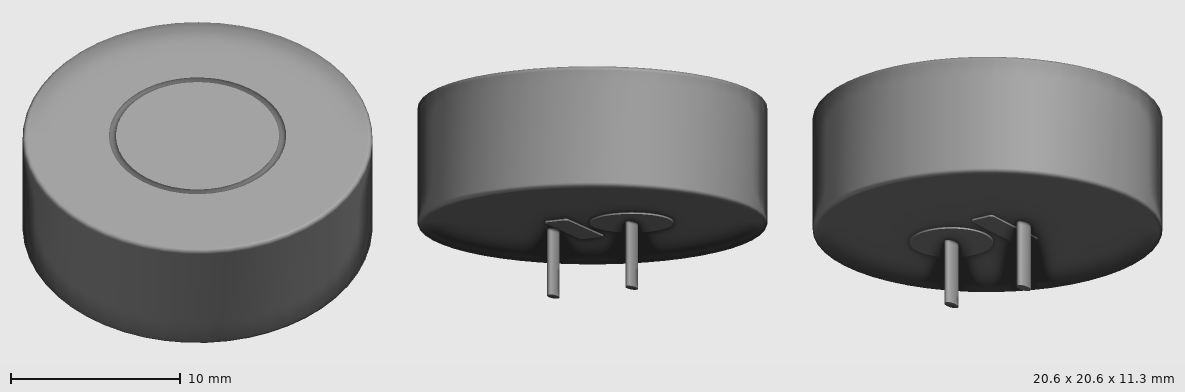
import cadquery as cq

outer_diameter = 20.6
can_height = 7.32
core_diameter = 15.6
rim_fillet = 0.25

groove_ring_radius = 5.0
groove_section_radius = 0.2

pin_pitch = 5.15
pin_width_x = 0.6
pin_width_y = 1.2
pin_length = 4.0

pad_diameter = 4.9
raised_height = 0.1
bar_width_x = 1.53
bar_length_y = pad_diameter
bar_center_x = -1.22
bar_corner_radius = 0.2


def make_sleeve():
    """Outer ring with rounded outside rims, open through the middle for the core."""
    outside = cq.Workplane("XY").circle(outer_diameter / 2).extrude(can_height)
    rounded = outside.edges().fillet(rim_fillet)
    opening = cq.Workplane("XY").circle(core_diameter / 2).extrude(can_height)
    return rounded.cut(opening)


def make_groove_cutter():
    """Torus centred on the top face; its lower half forms the groove."""
    torus = cq.Solid.makeTorus(groove_ring_radius, groove_section_radius)
    return cq.Workplane(torus.translate(cq.Vector(0, 0, can_height)))


def make_core():
    """Capacitor core that fills the sleeve, with its terminals in one piece."""
    core = cq.Workplane("XY").circle(core_diameter / 2).extrude(can_height)
    core = core.cut(make_groove_cutter())

    pad = cq.Workplane("XY").center(pin_pitch / 2, 0).circle(pad_diameter / 2).extrude(-raised_height)
    core = core.union(pad)

    bar = cq.Workplane("XY").center(bar_center_x, 0).rect(bar_width_x, bar_length_y).extrude(-raised_height)
    bar = bar.edges("|Z").fillet(bar_corner_radius)
    core = core.union(bar)

    for side in (-1, 1):
        pin = (
            cq.Workplane("XY")
            .center(side * pin_pitch / 2, 0)
            .ellipse(pin_width_x / 2, pin_width_y / 2)
            .extrude(-pin_length)
        )
        core = core.union(pin)
    return core


sleeve = make_sleeve()
core = make_core()

result = cq.Compound.makeCompound([sleeve.val(), core.val()])